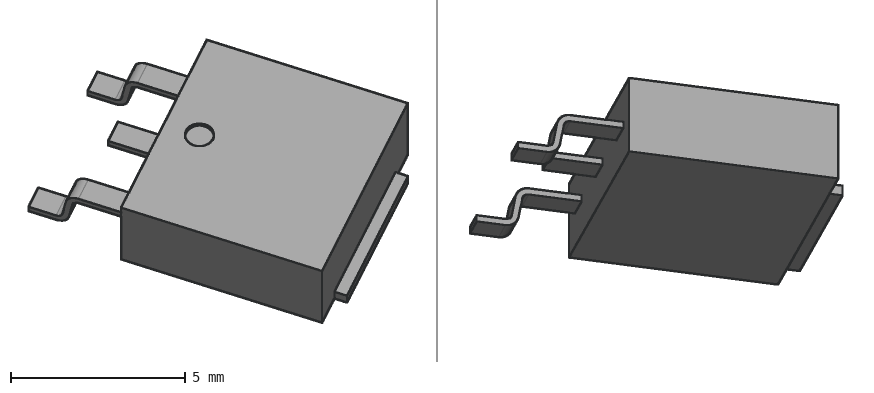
import cadquery as cq
import math

total_length = 9.72
housing_width = 6.6
housing_height = 2.4
housing_front = 3.12

mark_diameter = 0.83
mark_depth = 0.1
mark_x = 4.22

tab_projection = 0.39
tab_width = 4.7
tab_thickness = 0.32
housing_rear = total_length - tab_projection
housing_length = housing_rear - housing_front

lead_width = 0.76
lead_thickness = 0.2
lead_pitch = 2.27
lead_rise = 1.1
foot_length = 0.86
bend_inner_radius = 0.19
bend_angle = math.radians(80)
bend_radius = bend_inner_radius + lead_thickness / 2

foot_z = lead_thickness / 2
upper_z = foot_z + lead_rise
bend_run = bend_radius * math.sin(bend_angle)
bend_rise = bend_radius * (1 - math.cos(bend_angle))
leg_rise = lead_rise - 2 * bend_rise
leg_run = leg_rise / math.tan(bend_angle)
upper_start = foot_length + 2 * bend_run + leg_run


def make_block(x_start, x_end, width, z_bottom, height):
    """Box centred on y = 0, spanning x_start to x_end."""
    return (
        cq.Workplane("XY", origin=(x_start, 0, z_bottom))
        .box(x_end - x_start, width, height, centered=(False, True, False))
    )


def make_housing():
    block = make_block(housing_front, housing_rear, housing_width, 0, housing_height)
    mark = (
        cq.Workplane("XY", origin=(mark_x, 0, housing_height - mark_depth))
        .circle(mark_diameter / 2)
        .extrude(mark_depth)
    )
    return block.cut(mark)


def make_outer_lead(y):
    """Gull-wing lead: a flat strip swept along its bent centreline."""
    half_angle = bend_angle / 2
    mid_run = bend_radius * math.sin(half_angle)
    mid_rise = bend_radius * (1 - math.cos(half_angle))
    centreline = (
        cq.Workplane("XZ", origin=(0, y, 0))
        .moveTo(0, foot_z)
        .lineTo(foot_length, foot_z)
        .threePointArc(
            (foot_length + mid_run, foot_z + mid_rise),
            (foot_length + bend_run, foot_z + bend_rise),
        )
        .lineTo(upper_start - bend_run, upper_z - bend_rise)
        .threePointArc(
            (upper_start - mid_run, upper_z - mid_rise),
            (upper_start, upper_z),
        )
        .lineTo(housing_front, upper_z)
    )
    return (
        cq.Workplane("YZ", origin=(0, y, foot_z))
        .rect(lead_width, lead_thickness)
        .sweep(centreline)
    )


def make_centre_lead():
    """Straight stub, cut off where the outer leads begin to bend."""
    return make_block(upper_start, housing_front, lead_width,
                      upper_z - lead_thickness / 2, lead_thickness)


housing = make_housing()
tab = make_block(housing_rear, total_length, tab_width, 0, tab_thickness)
centre_lead = make_centre_lead()
outer_leads = [make_outer_lead(side * lead_pitch) for side in (-1, 1)]

result = cq.Compound.makeCompound([
    housing.val(),
    tab.val(),
    centre_lead.val(),
    *[lead.val() for lead in outer_leads],
])